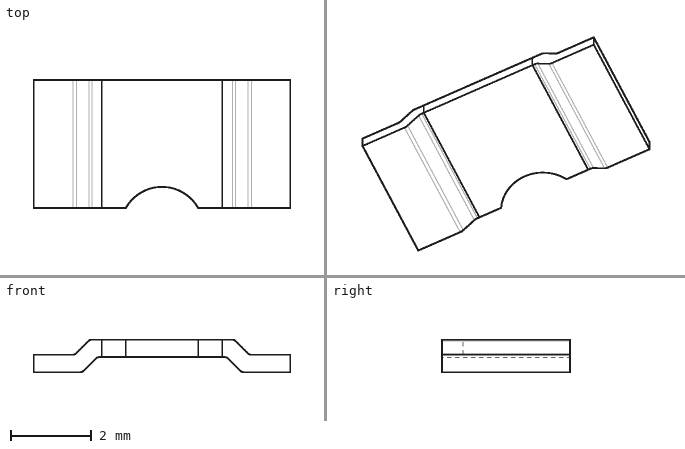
import cadquery as cq
import math

LENGTH = 6.35
WIDTH = 3.17
HEIGHT = 0.81
THICKNESS = 0.44

CENTER_LENGTH = 2.985
BEND_RADIUS = 0.12
BEND_ANGLE = math.radians(45)
RAMP_MIDDLE = 1.205

NOTCH_RADIUS = 1.03
NOTCH_DEPTH = 0.52

STEP = HEIGHT - THICKNESS
RAMP_RUN = STEP / math.tan(BEND_ANGLE)
RAMP_OFFSET = THICKNESS * math.tan(BEND_ANGLE / 2)
UPPER_RAMP_START = RAMP_MIDDLE - RAMP_RUN / 2
LOWER_RAMP_START = UPPER_RAMP_START + RAMP_OFFSET
TERMINAL_LENGTH = (LENGTH - CENTER_LENGTH) / 2


def make_center_strip():
    """Raised flat strip with a circular notch in its front edge."""
    strip = cq.Workplane("XY").box(CENTER_LENGTH, WIDTH, THICKNESS, centered=(True, True, False))
    notch_center_y = -WIDTH / 2 + NOTCH_DEPTH - NOTCH_RADIUS
    notch = cq.Workplane("XY").center(0, notch_center_y).circle(NOTCH_RADIUS).extrude(THICKNESS)
    return strip.cut(notch).translate((0, 0, STEP))


def make_left_terminal():
    """Cranked terminal that rises from the foot to the strip, with rounded bends."""
    profile = [
        (0, 0),
        (LOWER_RAMP_START, 0),
        (LOWER_RAMP_START + RAMP_RUN, STEP),
        (TERMINAL_LENGTH, STEP),
        (TERMINAL_LENGTH, HEIGHT),
        (UPPER_RAMP_START + RAMP_RUN, HEIGHT),
        (UPPER_RAMP_START, THICKNESS),
        (0, THICKNESS),
    ]
    terminal = cq.Workplane("XZ").polyline(profile).close().extrude(WIDTH / 2, both=True)
    bend_edges = terminal.edges("|Y").edges("not(<X or >X)")
    return bend_edges.fillet(BEND_RADIUS).translate((-LENGTH / 2, 0, 0))


center_strip = make_center_strip()
left_terminal = make_left_terminal()
right_terminal = left_terminal.mirror("YZ")

result = cq.Compound.makeCompound([center_strip.val(), left_terminal.val(), right_terminal.val()])